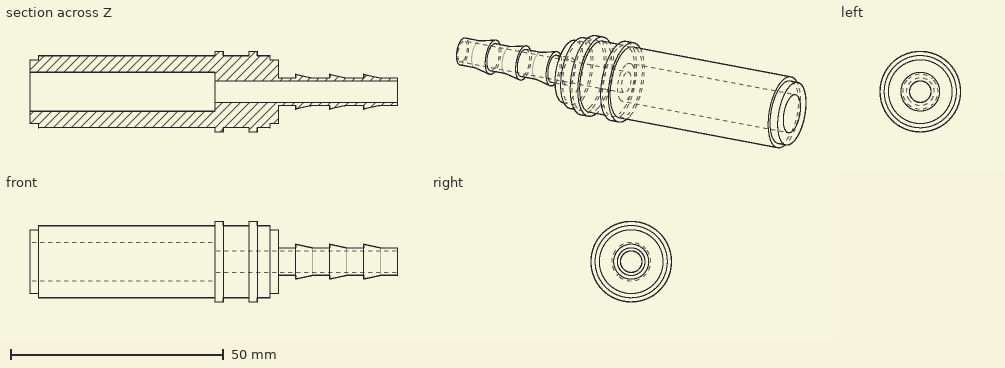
import cadquery as cq

total_length = 86.5
end_step_length = 2.0
body_length = 58.5
collar_width = 2.0
collar_starts = (43.5, 51.5)
barb_count = 3
barb_length = 4.0
barb_pitch = 8.0
first_barb_start = body_length + barb_length

end_step_diameter = 15.0
body_diameter = 17.0
collar_diameter = 19.0
stem_diameter = 6.5
barb_diameter = 8.25
socket_diameter = 9.1
through_hole_diameter = 5.0

socket_depth = collar_starts[0]


def cylinder(start, length, diameter):
    """Cylinder on the X axis, running from start towards +X."""
    return cq.Workplane("YZ", origin=(start, 0, 0)).circle(diameter / 2).extrude(length)


def barb(start):
    """Hose barb: square shoulder at start, tapering down to the stem towards +X."""
    profile = [
        (start, 0),
        (start, barb_diameter / 2),
        (start + barb_length, stem_diameter / 2),
        (start + barb_length, 0),
    ]
    return cq.Workplane("XZ").polyline(profile).close().revolve(360, (0, 0, 0), (1, 0, 0))


def make_body():
    """Stepped sleeve with two collars."""
    body = cylinder(0, body_length, end_step_diameter)
    body = body.union(cylinder(end_step_length, body_length - 2 * end_step_length, body_diameter))
    for start in collar_starts:
        body = body.union(cylinder(start, collar_width, collar_diameter))
    return body


def make_hose_tail():
    """Stem with evenly spaced barbs."""
    tail = cylinder(body_length, total_length - body_length, stem_diameter)
    for index in range(barb_count):
        tail = tail.union(barb(first_barb_start + index * barb_pitch))
    return tail


def cut_bores(solid):
    """Socket in the body and a smaller hole through the whole length."""
    solid = solid.cut(cylinder(0, socket_depth, socket_diameter))
    return solid.cut(cylinder(0, total_length, through_hole_diameter))


result = cut_bores(make_body().union(make_hose_tail()))